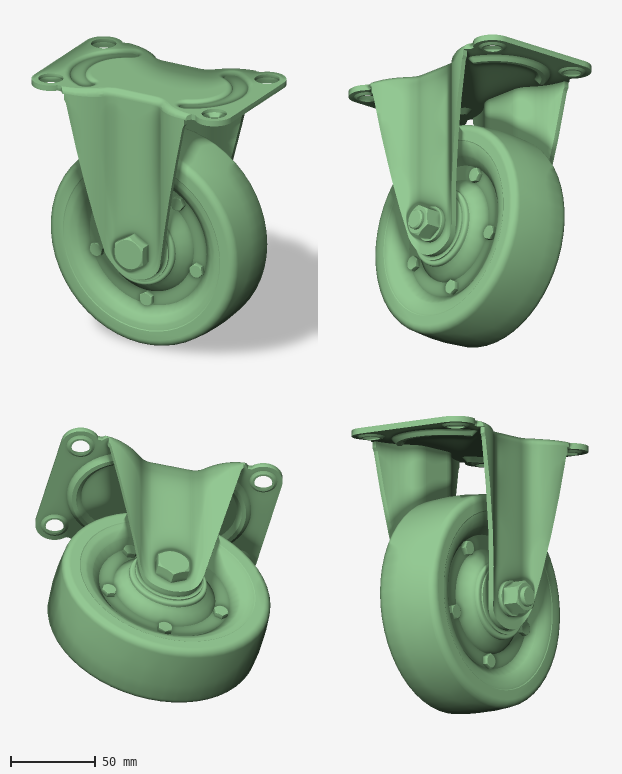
import cadquery as cq
import math


plate_top = 100.0
plate_thickness = 3.5
plate_length = 135.0
plate_width = 86.0
corner_radius = 11.5
waist_half_width = 38.9
mount_x = plate_length / 2 - corner_radius
mount_y = plate_width / 2 - corner_radius

hole_radius = 5.3
dimple_mouth_radius = 7.5
dimple_depth = 1.1
mouth_depth = 2.1
dimple_boss_radius = 8.3
dimple_boss_tip_radius = 6.6

bead_center_x = 22.0
bead_radius = 29.2
bead_half_angle = 64.5
bead_mouth_half_width = 7.8
bead_floor_half_width = 4.35
bead_depth = 2.0
bead_boss_depth = 3.0
bead_boss_half_width = 4.3
bead_boss_tip_half_width = 1.3

cheek_thickness = 4.0
cheek_outer_y = 29.0
cheek_flat_half = 12.3
cheek_inner_flat_half = 10.4
throat_radius = 10.0
flare_radius = 35.6
flare_angle = math.radians(44.0)
cheek_end_x = 41.2
shoulder_z = 93.0
taper_top = (40.0, 91.0)
foot_corner = (19.2, -3.2)
foot_bottom = -18.4
fork_bend_flat = 4.2
fork_bend_flare = 2.9
notch_end_x = 44.6

wheel_radius = 65.0
tread_half_width = 21.0
crown_half_width = 16.8
crown_edge_radius = 64.0
tread_face_radius = 59.6
rim_outer_radius = 53.9
rim_lip_radius = 53.4
rim_lip_y = 20.7
rim_bend_radius = 44.8
rim_bend_y = 17.2
web_outer_radius = 40.1
web_y = 12.8
web_inner_radius = 31.3
hub_radius = 23.8
hub_root_y = 21.4
hub_end_y = 24.0
hub_round = 1.5
seal_radius = 20.7

web_bolt_count = 5
web_bolt_pitch_radius = 36.0
web_bolt_flats = 8.0
web_bolt_height = 3.2

axle_diameter = 12.0
head_flats = 19.0
head_height = 7.6
washer_radius = 10.7
washer_thickness = 2.6
nut_flats = 17.0
nut_height = 10.1
thread_tip_y = 44.15
thread_chamfer = 0.8
hex_face_ratio = 0.97
hex_chamfer_angle = math.radians(30.0)

plate_bottom = plate_top - plate_thickness
cheek_inner_y = cheek_outer_y - cheek_thickness
foot_rise = foot_corner[1] - foot_bottom
foot_radius = (foot_corner[0] ** 2 + foot_rise**2) / (2 * foot_rise)
shoulder_drop = crown_edge_radius - tread_face_radius
shoulder_run = tread_half_width - crown_half_width
shoulder_radius = (shoulder_drop**2 + shoulder_run**2) / (2 * shoulder_run)


def cylinder_y(radius, y_start, y_end):
    """Cylinder on the wheel axis between two Y positions."""
    return cq.Workplane("XZ", origin=(0, y_start, 0)).circle(radius).extrude(y_start - y_end)


def hexagon_y(flats, y_base, y_tip):
    """Hexagonal prism along Y, corners up and down, with the tip corners chamfered."""
    tip_to_axis = flats / 2 / math.cos(math.pi / 6)
    prism = (
        cq.Workplane("XZ", origin=(0, y_base, 0))
        .polygon(6, 2 * tip_to_axis)
        .extrude(y_base - y_tip)
        .rotate((0, 0, 0), (0, 1, 0), 30)
    )
    direction = math.copysign(1, y_tip - y_base)
    tip_radius = hex_face_ratio * flats / 2
    bevel = (tip_to_axis - tip_radius) * math.tan(hex_chamfer_angle)
    turned = (
        cq.Workplane("XY")
        .moveTo(0, y_base)
        .lineTo(tip_to_axis, y_base)
        .lineTo(tip_to_axis, y_tip - direction * bevel)
        .lineTo(tip_radius, y_tip)
        .lineTo(0, y_tip)
        .close()
        .revolve(360, (0, 0, 0), (0, 1, 0))
    )
    return prism.intersect(turned)


def cheek_quarter(flat_half, flat_y, z_top):
    """One quarter of the block between the outer or the inner faces of the cheeks."""
    throat = cheek_outer_y + throat_radius - flat_y
    center_spacing = throat + flare_radius
    throat_center_y = cheek_outer_y + throat_radius
    flare_center_x = flat_half + center_spacing * math.sin(flare_angle)
    flare_center_y = throat_center_y - center_spacing * math.cos(flare_angle)
    end_angle = math.asin((flare_center_x - notch_end_x) / flare_radius)

    def throat_point(angle):
        return (flat_half + throat * math.sin(angle), throat_center_y - throat * math.cos(angle))

    def flare_point(angle):
        return (flare_center_x - flare_radius * math.sin(angle), flare_center_y + flare_radius * math.cos(angle))

    return (
        cq.Workplane("XY", origin=(0, 0, foot_bottom))
        .lineTo(0, flat_y)
        .lineTo(flat_half, flat_y)
        .threePointArc(throat_point(flare_angle / 2), throat_point(flare_angle))
        .threePointArc(flare_point((flare_angle + end_angle) / 2), flare_point(end_angle))
        .lineTo(notch_end_x, 0)
        .close()
        .extrude(z_top - foot_bottom)
    )


def bend_top_edge(block):
    """Round the top edge of a quarter block; the radius shrinks along the flare."""
    edges = block.faces(">Z").edges().vals()
    flat = next(e for e in edges if e.geomType() == "LINE" and e.Center().y > cheek_inner_y)
    flare = max((e for e in edges if e.geomType() == "CIRCLE"), key=lambda e: e.Center().x)
    rounder = cq.occ_impl.shapes.BRepFilletAPI_MakeFillet(block.val().wrapped)
    rounder.Add(fork_bend_flat, flat.wrapped)
    last = rounder.NbEdges(1)
    radii = (fork_bend_flat, fork_bend_flare)
    if flare.isSame(cq.Edge(rounder.Edge(1, last))):
        rounder.SetRadius(*radii, 1, last)
    else:
        rounder.SetRadius(*reversed(radii), 1, 1)
    rounder.Build()
    return cq.Workplane(obj=cq.Shape.cast(rounder.Shape()))


def mirror_four(quarter):
    """Complete a +X +Y quarter to all four quarters."""
    half = quarter.union(quarter.mirror("YZ"))
    return half.union(half.mirror("XZ"))


def cheek_trim():
    """Tapered side shape of the cheeks with the round foot; the plate layer reaches further out."""
    foot_x, foot_z = foot_corner
    half = (
        cq.Workplane("XZ", origin=(0, plate_width, 0))
        .moveTo(0, plate_top)
        .lineTo(0, foot_bottom)
        .radiusArc((foot_x, foot_z), -foot_radius)
        .lineTo(*taper_top)
        .lineTo(cheek_end_x, shoulder_z)
        .lineTo(cheek_end_x, plate_bottom)
        .lineTo(notch_end_x, plate_bottom)
        .lineTo(notch_end_x, plate_top)
        .close()
        .extrude(2 * plate_width)
    )
    return half.union(half.mirror("YZ"))


def bend_notches():
    """Slanted cuts that end the bent edges next to the corner lobes."""
    corner = (
        cq.Workplane("XY", origin=(0, 0, plate_bottom))
        .moveTo(notch_end_x, waist_half_width)
        .lineTo(cheek_end_x, plate_width / 2)
        .lineTo(notch_end_x, plate_width / 2)
        .close()
        .extrude(plate_thickness)
    )
    return mirror_four(corner)


def plate_ends():
    """Flat ends of the plate, each with two round corner lobes."""
    quarter = (
        cq.Workplane("XY", origin=(0, 0, plate_bottom))
        .moveTo(notch_end_x, 0)
        .lineTo(plate_length / 2, 0)
        .lineTo(plate_length / 2, mount_y)
        .lineTo(mount_x, mount_y)
        .lineTo(mount_x, waist_half_width)
        .lineTo(notch_end_x, waist_half_width)
        .close()
        .extrude(plate_thickness)
    )
    lobe = (
        cq.Workplane("XY", origin=(mount_x, mount_y, plate_bottom))
        .circle(corner_radius)
        .extrude(plate_thickness)
    )
    inboard_block = cq.Workplane("XY").box(notch_end_x, plate_width, 3 * plate_top, centered=(False, True, True))
    return quarter.union(lobe.cut(inboard_block))


def rounded_section(floor_half, mouth_half, depth):
    """Half section of a recess in the plate top: flat floor and a mouth rounded into the top."""
    run = mouth_half - floor_half
    mouth_round = (run**2 + depth**2) / (2 * depth)
    floor_z = plate_top - depth
    return (
        cq.Workplane("XZ")
        .moveTo(0, plate_top)
        .lineTo(0, floor_z)
        .lineTo(floor_half, floor_z)
        .radiusArc((mouth_half, plate_top), mouth_round)
        .close()
    )


def hole_section():
    """Half section of a mounting hole: straight mouth, then a cone down to the through opening."""
    return (
        cq.Workplane("XZ")
        .moveTo(0, plate_top)
        .lineTo(dimple_mouth_radius, plate_top)
        .lineTo(dimple_mouth_radius, plate_top - mouth_depth)
        .lineTo(hole_radius, plate_bottom - dimple_depth)
        .lineTo(0, plate_bottom - dimple_depth)
        .close()
    )


def tapered_section(tip_half, root_half, depth):
    """Half section of a boss under the plate, narrowing towards its tip."""
    tip_z = plate_bottom - depth
    return (
        cq.Workplane("XZ")
        .moveTo(0, plate_bottom)
        .lineTo(root_half, plate_bottom)
        .lineTo(tip_half, tip_z)
        .lineTo(0, tip_z)
        .close()
    )


def turned_z(section):
    """Revolve a half section about the vertical axis."""
    return section.revolve(360, (0, 0, 0), (0, 1, 0))


def curved_bead(section):
    """Run a half section along a curved bead on the +X end, with round bead ends."""
    outer_wire = section.wires().val().translate(cq.Vector(bead_radius, 0, 0))
    inner_wire = outer_wire.mirror("YZ", (bead_radius, 0, 0))
    axis = ((0, 0, 0), (0, 0, 1))
    cap = turned_z(section).translate((bead_radius, 0, 0))
    bead = cap.rotate(*axis, bead_half_angle).union(cap.rotate(*axis, -bead_half_angle))
    for wire in (outer_wire, inner_wire):
        swept = cq.Workplane(obj=cq.Solid.revolve(wire, [], 2 * bead_half_angle, *axis))
        bead = bead.union(swept.rotate(*axis, -bead_half_angle))
    return bead.translate((bead_center_x, 0, 0))


def make_fork():
    outer_block = cheek_quarter(cheek_flat_half, cheek_outer_y, plate_top)
    inner_block = cheek_quarter(cheek_inner_flat_half, cheek_inner_y, plate_bottom)
    fork = mirror_four(bend_top_edge(outer_block).cut(inner_block))
    fork = fork.intersect(cheek_trim()).cut(bend_notches())
    fork = fork.union(mirror_four(plate_ends()))

    bead_boss = curved_bead(tapered_section(bead_boss_tip_half_width, bead_boss_half_width, bead_boss_depth))
    bead_groove = curved_bead(rounded_section(bead_floor_half_width, bead_mouth_half_width, bead_depth))
    fork = fork.union(bead_boss).union(bead_boss.mirror("YZ"))
    fork = fork.cut(bead_groove).cut(bead_groove.mirror("YZ"))

    dimple_boss = turned_z(tapered_section(dimple_boss_tip_radius, dimple_boss_radius, dimple_depth))
    hole = turned_z(hole_section())
    for x in (-mount_x, mount_x):
        for y in (-mount_y, mount_y):
            place = (x, y, 0)
            fork = fork.union(dimple_boss.translate(place))
            fork = fork.cut(hole.translate(place))

    return fork.cut(cylinder_y(axle_diameter / 2, -plate_width, plate_width))


def wheel_profile_half():
    """Half section of the wheel, from the mid plane to the -Y side, as (radius, Y)."""
    return (
        cq.Workplane("XY")
        .moveTo(axle_diameter / 2, 0)
        .lineTo(axle_diameter / 2, -cheek_inner_y)
        .lineTo(seal_radius, -cheek_inner_y)
        .lineTo(seal_radius, -hub_end_y)
        .lineTo(hub_radius - hub_round, -hub_end_y)
        .radiusArc((hub_radius, -hub_end_y + hub_round), -hub_round)
        .lineTo(hub_radius, -hub_root_y)
        .lineTo(web_inner_radius, -web_y)
        .lineTo(web_outer_radius, -web_y)
        .lineTo(rim_bend_radius, -rim_bend_y)
        .tangentArcPoint((rim_lip_radius, -rim_lip_y), relative=False)
        .lineTo(rim_outer_radius, -tread_half_width)
        .lineTo(tread_face_radius, -tread_half_width)
        .lineTo(tread_face_radius, 0)
        .close()
    )


def tread():
    """Outer band of the wheel: rounded shoulders and a slightly crowned running face."""
    return (
        cq.Workplane("XY")
        .moveTo(rim_outer_radius, -tread_half_width)
        .lineTo(tread_face_radius, -tread_half_width)
        .tangentArcPoint((crown_edge_radius, -crown_half_width), relative=False)
        .threePointArc((wheel_radius, 0), (crown_edge_radius, crown_half_width))
        .radiusArc((tread_face_radius, tread_half_width), -shoulder_radius)
        .lineTo(rim_outer_radius, tread_half_width)
        .close()
        .revolve(360, (0, 0, 0), (0, 1, 0))
    )


def make_wheel():
    half = wheel_profile_half().revolve(360, (0, 0, 0), (0, 1, 0))
    web_bolt = hexagon_y(web_bolt_flats, -web_y, -web_y - web_bolt_height)
    for index in range(web_bolt_count):
        turn = index * 360 / web_bolt_count
        half = half.union(web_bolt.translate((0, 0, -web_bolt_pitch_radius)).rotate((0, 0, 0), (0, 1, 0), turn))
    return half.union(half.mirror("XZ")).union(tread())


def make_axle():
    washer_y = cheek_outer_y + washer_thickness
    shank = cylinder_y(axle_diameter / 2, -cheek_outer_y, thread_tip_y).faces(">Y").chamfer(thread_chamfer)
    head = hexagon_y(head_flats, -cheek_outer_y, -cheek_outer_y - head_height)
    washer = cylinder_y(washer_radius, cheek_outer_y, washer_y)
    nut = hexagon_y(nut_flats, washer_y, washer_y + nut_height)
    return shank.union(head).union(washer).union(nut)


fork = make_fork()
wheel = make_wheel()
axle = make_axle()
result = cq.Compound.makeCompound([fork.val(), wheel.val(), axle.val()])